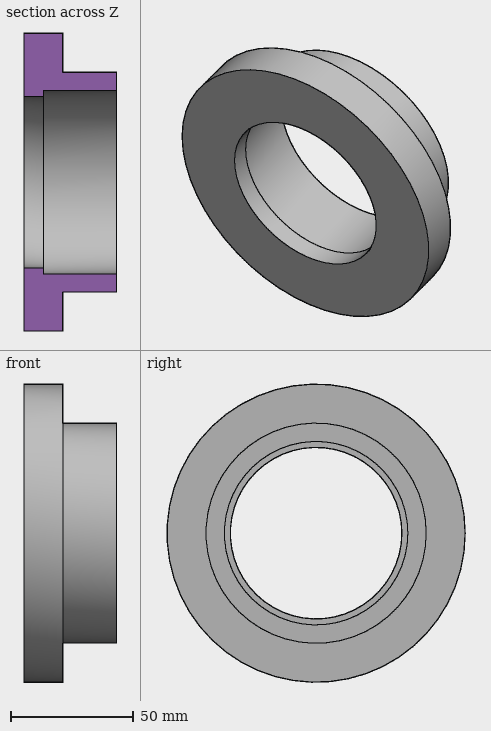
import cadquery as cq

flange_diameter = 122.0
flange_thickness = 16.0
hub_diameter = 90.0
total_length = 38.0
lip_bore_diameter = 70.0
lip_length = 8.0
hub_bore_diameter = 75.0


def cylinder_along_x(diameter, start, end):
    """Solid cylinder on the X axis between two X positions."""
    return cq.Workplane("YZ", origin=(start, 0, 0)).circle(diameter / 2).extrude(end - start)


flange = cylinder_along_x(flange_diameter, 0, flange_thickness)
hub = cylinder_along_x(hub_diameter, 0, total_length)
body = flange.union(hub)

lip_bore = cylinder_along_x(lip_bore_diameter, 0, total_length)
hub_bore = cylinder_along_x(hub_bore_diameter, lip_length, total_length)

result = body.cut(lip_bore).cut(hub_bore)